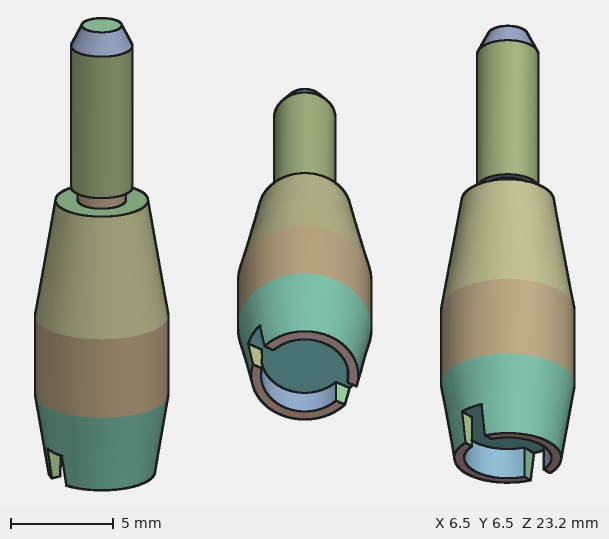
import cadquery as cq

base_diameter = 5.2
body_diameter = 6.5
shoulder_diameter = 4.5
neck_diameter = 2.35
pin_diameter = 3.0
tip_diameter = 1.95

lower_taper_top = 4.01
body_top = 8.1
shoulder_height = 14.1
neck_top = 14.78
tip_chamfer_start = 22.13
total_height = 23.2

slot_width = 1.2
slot_depth = 1.6

recess_diameter = 4.25
recess_depth = slot_depth


def revolved_body():
    """Revolve the half profile, given as (radius, height), about Z."""
    profile = [
        (0, 0),
        (base_diameter / 2, 0),
        (body_diameter / 2, lower_taper_top),
        (body_diameter / 2, body_top),
        (shoulder_diameter / 2, shoulder_height),
        (neck_diameter / 2, shoulder_height),
        (neck_diameter / 2, neck_top),
        (pin_diameter / 2, neck_top),
        (pin_diameter / 2, tip_chamfer_start),
        (tip_diameter / 2, total_height),
        (0, total_height),
    ]
    return cq.Workplane("XZ").polyline(profile).close().revolve(360, (0, 0, 0), (0, 1, 0))


def base_slot():
    """Box that cuts the slot right through the base."""
    return cq.Workplane("XY").box(slot_width, body_diameter, slot_depth, centered=(True, True, False))


def base_recess():
    """Cylinder that hollows out the base, leaving a slotted rim."""
    return cq.Workplane("XY").circle(recess_diameter / 2).extrude(recess_depth)


result = revolved_body().cut(base_slot()).cut(base_recess())